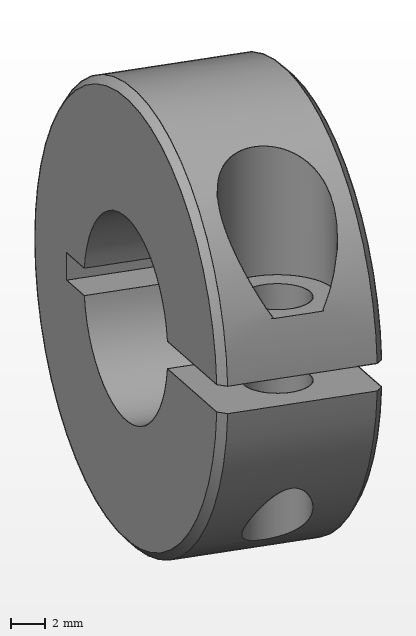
import cadquery as cq

outer_diameter = 28.57
bore_diameter = 12.7
width = 10.4
edge_chamfer = 0.49

slit_width = 1.7
notch_reach = 8.97

screw_offset = 10.45
screw_hole_diameter = 4.15
head_diameter = 7.0
head_seat_height = 4.37


def make_ring():
    """Chamfered ring centred on the origin."""
    blank = cq.Workplane("XZ").circle(outer_diameter / 2).extrude(width / 2, both=True)
    blank = blank.faces("|Y").edges().chamfer(edge_chamfer)
    bore = cq.Workplane("XZ").circle(bore_diameter / 2).extrude(width, both=True)
    return blank.cut(bore)


def make_slit():
    """Full-width slot from the relief notch out past the +X rim."""
    length = notch_reach + outer_diameter
    slit = cq.Workplane("XY").box(length, 2 * width, slit_width, centered=(False, True, True))
    return slit.translate((-notch_reach, 0, 0))


def make_screw_cut():
    """Through hole with a flat-bottomed head recess opening toward +Z."""
    hole = (
        cq.Workplane("XY")
        .center(screw_offset, 0)
        .circle(screw_hole_diameter / 2)
        .extrude(outer_diameter, both=True)
    )
    head = (
        cq.Workplane("XY", origin=(screw_offset, 0, head_seat_height))
        .circle(head_diameter / 2)
        .extrude(outer_diameter)
    )
    return hole.union(head)


result = make_ring().cut(make_slit()).cut(make_screw_cut())